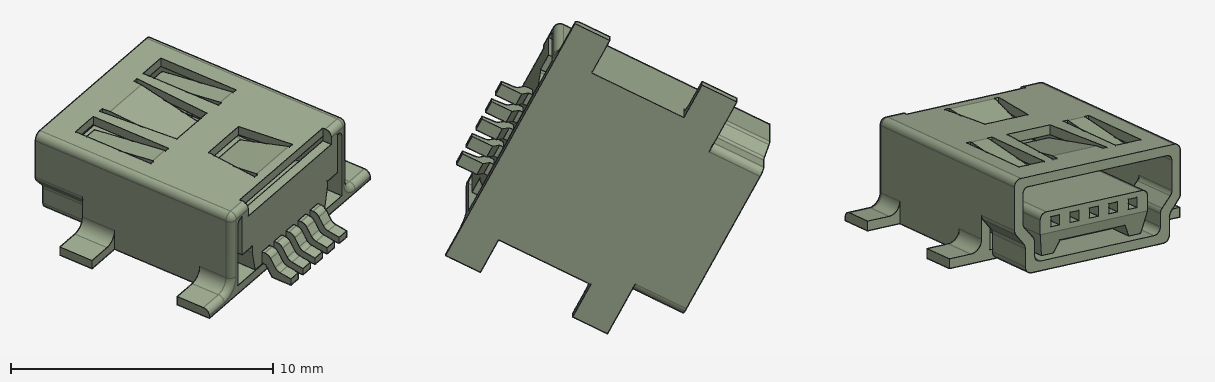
import cadquery as cq
import math


shell_length = 9.15
shell_width = 7.7
shell_height = 3.9
wall = 0.4
outer_radius = 0.3
inner_radius = 0.24
rear_radius = 0.28

mouth_length = 2.19
mouth_step = 0.5
knee_top = 1.74
knee_bottom = 1.13
knee_radius = 0.3
mouth_lower_wall = 0.43
inner_knee_lift = 0.05
mouth_floor_radius = 0.3

foot_span = 10.7
foot_length = 1.5
foot_radius = 0.5
foot_starts = (mouth_length, shell_length - foot_length)

plate_width = 6.33
plate_bottom = 1.68
notch_width = 5.52
notch_bottom = 3.28

tab_gap = 0.19
tab_drop = 0.43
window_front = 1.17
finger_window_length = 3.5
finger_window_width = 1.18
finger_window_offset = 2.25
finger_flat = 0.04
trapezoid_wide = 2.5
trapezoid_narrow = 1.99
front_tab_window_length = 3.42
front_tab_flat = 0.35
rear_tab_window_start = 6.07
rear_tab_window_length = 2.32
rear_tab_flat = 0.04

tongue_front = 0.24
tongue_width = 4.99
tongue_top = 2.23
tongue_radius = 0.28
tongue_taper_top = 1.36
tongue_bottom = 0.43
tongue_bottom_width = 4.6
tongue_front_setback = 0.19
relief_depth = 1.28
relief_height = 0.51
relief_top_width = 3.02
relief_bottom_width = 3.51

contact_count = 5
contact_pitch = 0.9
contact_size = 0.41
contact_centre_height = 1.79
contact_depth = 1.07
pin_pitch = 0.8
pin_width = 0.5
pin_end = 10.5
pin_radius = 0.32
pin_exit_top = 1.02
pin_exit_bottom = 0.47
pin_upper_bend = 9.46
pin_lower_bend = 9.84
pin_lower_bend_top = 0.41
pin_tip_thickness = 0.3
pin_underside_bend = 9.32
pin_heel = 9.62


def slab(x_start, x_end, width, z_bottom, z_top):
    """Box centred on Y between the given X and Z limits."""
    size = (x_end - x_start, width, z_top - z_bottom)
    return cq.Workplane("XY").box(*size, centered=(False, True, False)).translate((x_start, 0, z_bottom))


def prism_along_x(points, x_start, x_end):
    """Extrude a (Y, Z) outline from x_start to x_end."""
    return cq.Workplane("YZ", origin=(x_start, 0, 0)).polyline(points).close().extrude(x_end - x_start)


def mirrored(right_half):
    """Complete a (Y, Z) outline from its +Y half, listed from bottom to top."""
    return right_half + [(-y, z) for y, z in reversed(right_half)]


def round_edges(solid, centres, radius):
    """Round the edges whose midpoints lie at the given points."""
    for centre in centres:
        solid = solid.edges(cq.selectors.NearestToPointSelector(centre)).fillet(radius)
    return solid


def both_sides(x, y, z):
    """The point and its mirror image across the middle plane."""
    return [(x, y, z), (x, -y, z)]


def mouth_block(inset, lower_inset, knee_lift, top_radius, floor_radius):
    """Solid mouth section; its stepped lower half and its knees may sit deeper."""
    half = shell_width / 2
    lower_half = half - mouth_step - lower_inset
    lean = math.atan2(mouth_step, knee_top - knee_bottom)
    right_half = [
        (lower_half, inset),
        (lower_half, knee_bottom + knee_lift + lower_inset * math.tan(lean / 2)),
        (half - inset, knee_top + knee_lift + inset * math.tan(lean / 2)),
        (half - inset, shell_height - inset),
    ]
    radii = [floor_radius, knee_radius, knee_radius, top_radius]
    block = prism_along_x(mirrored(right_half), 0, mouth_length)
    for (y, z), radius in zip(right_half, radii):
        block = round_edges(block, both_sides(mouth_length / 2, y, z), radius)
    return block


def mouth():
    outside = mouth_block(0, 0, 0, outer_radius, outer_radius)
    inside = mouth_block(wall, mouth_lower_wall, inner_knee_lift, inner_radius, mouth_floor_radius)
    return outside.cut(inside)


def foot_pair(x_start):
    """Two feet with a swept-up root against the shell sides."""
    x_end = x_start + foot_length
    base = slab(x_start, x_end, foot_span, 0, wall)
    riser = slab(x_start, x_end, shell_width, 0, shell_height / 2)
    roots = both_sides((x_start + x_end) / 2, shell_width / 2, wall)
    return round_edges(base.union(riser), roots, foot_radius)


def shell():
    main_middle = (mouth_length + shell_length) / 2
    main = slab(mouth_length, shell_length, shell_width, 0, shell_height)
    main = round_edges(main, both_sides(main_middle, shell_width / 2, shell_height), outer_radius)
    for x_start in foot_starts:
        main = main.union(foot_pair(x_start))
    main = main.clean()
    main = main.faces(">X").edges("not (<Z or <Y or >Y)").fillet(rear_radius)
    cavity_width = shell_width - 2 * wall
    cavity = slab(mouth_length, shell_length, cavity_width, wall, shell_height - wall)
    cavity = round_edges(cavity, both_sides(main_middle, cavity_width / 2, shell_height - wall), inner_radius)
    plate = slab(shell_length - wall, shell_length, plate_width, plate_bottom, shell_height - wall)
    main = main.cut(cavity.cut(plate))
    body = main.union(mouth())
    notch = slab(shell_length - wall, shell_length, notch_width, notch_bottom, shell_height)
    return body.cut(notch)


def trapezoid_prism(x_start, x_end, width_start, width_end):
    """Vertical prism from the roof down past the tabs; its width may change along X."""
    outline = [
        (x_start, -width_start / 2),
        (x_end, -width_end / 2),
        (x_end, width_end / 2),
        (x_start, width_start / 2),
    ]
    depth = wall + tab_drop
    base = cq.Workplane("XY", origin=(0, 0, shell_height - depth))
    return base.polyline(outline).close().extrude(depth)


def tab_sheet(x_hinge, x_bend, x_tip, undercut):
    """Sheet strip, level from hinge to bend, then sloping down to its tip.

    An undercut tip is cut back at 45 degrees from its top edge; otherwise it is upright.
    """
    tip_top = shell_height - tab_drop
    toward_tip = math.copysign(1, x_tip - x_hinge)
    slope = tab_drop / abs(x_tip - x_bend)
    cut_back = wall / (1 + slope) if undercut else 0
    outline = [
        (x_hinge, shell_height),
        (x_bend, shell_height),
        (x_tip, tip_top),
        (x_tip - toward_tip * cut_back, tip_top - wall + slope * cut_back),
        (x_bend, shell_height - wall),
        (x_hinge, shell_height - wall),
    ]
    return cq.Workplane("XZ").polyline(outline).close().extrude(shell_width / 2, both=True)


def pressed_tab(body, x_hinge, x_free, width_hinge, width_free, flat, y_centre=0, undercut=False):
    """Open a window in the roof and hang a sloping tab in it from the hinge side."""
    toward_free = math.copysign(1, x_free - x_hinge)
    x_tip = x_free - toward_free * tab_gap
    window = trapezoid_prism(x_hinge, x_free, width_hinge, width_free)
    blank = trapezoid_prism(x_hinge, x_tip, width_hinge - 2 * tab_gap, width_free - 2 * tab_gap)
    tab = blank.intersect(tab_sheet(x_hinge, x_hinge + toward_free * flat, x_tip, undercut))
    opened = body.cut(window.translate((0, y_centre, 0)))
    return opened.union(tab.translate((0, y_centre, 0)))


def with_tabs(body):
    finger_hinge = window_front + finger_window_length
    for side in (-1, 1):
        body = pressed_tab(body, finger_hinge, window_front, finger_window_width, finger_window_width,
                           finger_flat, side * finger_window_offset, undercut=True)
    body = pressed_tab(body, window_front, window_front + front_tab_window_length,
                       trapezoid_wide, trapezoid_narrow, front_tab_flat)
    rear_hinge = rear_tab_window_start + rear_tab_window_length
    return pressed_tab(body, rear_hinge, rear_tab_window_start,
                       trapezoid_wide, trapezoid_narrow, rear_tab_flat)


def row_positions(pitch):
    return [(index - (contact_count - 1) / 2) * pitch for index in range(contact_count)]


def tongue():
    outline = mirrored([
        (tongue_bottom_width / 2, tongue_bottom),
        (tongue_width / 2, tongue_taper_top),
        (tongue_width / 2, tongue_top),
    ])
    body = prism_along_x(outline, tongue_front, shell_length)
    middle = (tongue_front + shell_length) / 2
    body = round_edges(body, both_sides(middle, tongue_width / 2, tongue_top), tongue_radius)
    front_wedge = (
        cq.Workplane("XZ")
        .polyline([
            (tongue_front, tongue_taper_top),
            (tongue_front + tongue_front_setback, tongue_bottom),
            (tongue_front, tongue_bottom),
        ])
        .close()
        .extrude(tongue_width / 2, both=True)
    )
    relief = prism_along_x(
        mirrored([
            (relief_bottom_width / 2, tongue_bottom),
            (relief_top_width / 2, tongue_bottom + relief_height),
        ]),
        tongue_front,
        tongue_front + relief_depth,
    )
    body = body.cut(front_wedge).cut(relief)
    half = contact_size / 2
    for y in row_positions(contact_pitch):
        hole = slab(tongue_front, tongue_front + contact_depth, contact_size,
                    contact_centre_height - half, contact_centre_height + half)
        body = body.cut(hole.translate((0, y, 0)))
    return body


def pin():
    """Solder pin: leaves the rear level, bends down and lies on the board."""
    outline = [
        (shell_length, pin_exit_top),
        (pin_upper_bend, pin_exit_top),
        (pin_lower_bend, pin_lower_bend_top),
        (pin_end, pin_tip_thickness),
        (pin_end, 0),
        (pin_heel, 0),
        (pin_underside_bend, pin_exit_bottom),
        (shell_length, pin_exit_bottom),
    ]
    blank = cq.Workplane("XZ").polyline(outline).close().extrude(pin_width / 2, both=True)
    bends = [(pin_upper_bend, 0, pin_exit_top), (pin_lower_bend, 0, pin_lower_bend_top)]
    return round_edges(blank, bends, pin_radius)


result = with_tabs(shell()).union(tongue())
for y in row_positions(pin_pitch):
    result = result.union(pin().translate((0, y, 0)))